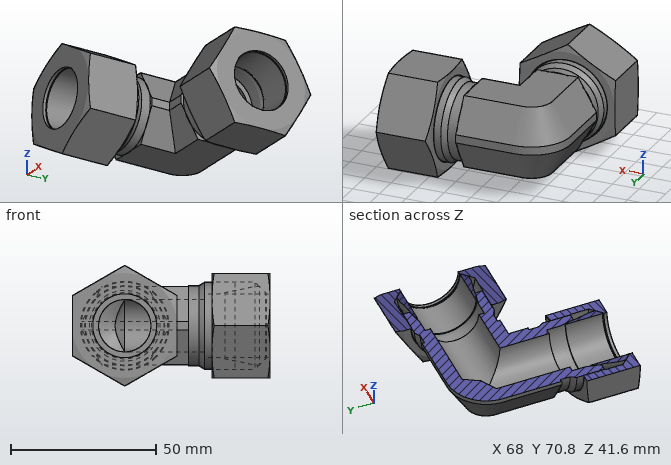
import cadquery as cq
import math


tube_radius = 22 / 2
bore_radius = 18 / 2
bore_tip_angle = 120
tube_stop = 27.5

elbow_flats = 27
trimmed_half_width = 14.7
shoulder = 22

neck_radius = 27.546 / 2
neck_end = 25.5
thread_radius = 30 / 2
thread_start = 27.5
port_end = 38
port_cone_half_angle = 12
port_mouth_radius = 12.15
port_cone_start = port_end - (port_mouth_radius - tube_radius) / math.tan(math.radians(port_cone_half_angle))

nut_flats = 36
nut_start = 30
nut_end = 50
nut_chamfer_angle = 15
nut_mouth_chamfer = 0.25
nut_lip_length = 1.2
nut_lip_start = nut_end - nut_lip_length

ring_edge_thickness = 0.4
ring_outer_radius = 13.5


def hexagon_corner_radius(flats):
    return flats / math.sqrt(3)


def revolve_about_x(points):
    """Turn a closed (distance, radius) outline about the port axis."""
    return cq.Workplane("XY").polyline(points).close().revolve(360, (0, 0), (1, 0))


def on_second_port(part):
    """Move a part from the +X port to the -Y port."""
    return part.rotate((0, 0, 0), (0, 0, 1), -90)


def make_elbow_core():
    """Two arms of the trimmed hexagon section, joined by the same section turned about Z."""
    half_height = elbow_flats / 2
    flat_half_width = half_height * math.tan(math.radians(30))
    corner = hexagon_corner_radius(elbow_flats)
    side_half_height = (corner - trimmed_half_width) * math.tan(math.radians(60))

    half_section = [
        (0, -half_height),
        (flat_half_width, -half_height),
        (trimmed_half_width, -side_half_height),
        (trimmed_half_width, side_half_height),
        (flat_half_width, half_height),
        (0, half_height),
    ]
    half_arm = cq.Workplane("YZ").polyline(half_section).close().extrude(shoulder)
    arm = half_arm.union(half_arm.mirror("XZ"))
    round_corner = cq.Workplane("XZ").polyline(half_section).close().revolve(360, (0, 0), (0, 1))
    return arm.union(on_second_port(arm)).union(round_corner)


def make_port_end():
    """Neck, flare and plain thread cylinder beyond the shoulder of one arm."""
    return revolve_about_x([
        (0, 0),
        (0, bore_radius),
        (shoulder, bore_radius),
        (shoulder, neck_radius),
        (neck_end, neck_radius),
        (thread_start, thread_radius),
        (port_end, thread_radius),
        (port_end, 0),
    ])


def make_port_bore():
    """Drilled bore with a conical tip, tube socket and 24 degree mouth cone."""
    tip_depth = bore_radius / math.tan(math.radians(bore_tip_angle / 2))
    return revolve_about_x([
        (-tip_depth, 0),
        (0, bore_radius),
        (tube_stop, bore_radius),
        (tube_stop, tube_radius),
        (port_cone_start, tube_radius),
        (port_end, port_mouth_radius),
        (port_end, 0),
    ])


def make_elbow():
    port = make_port_end()
    bore = make_port_bore()
    elbow = make_elbow_core().union(port).union(on_second_port(port))
    return elbow.cut(bore).cut(on_second_port(bore))


def make_nut():
    """Hexagon nut with its flats facing +Z and -Z and both ends chamfered."""
    corner = hexagon_corner_radius(nut_flats)
    washer_radius = nut_flats / 2
    chamfer_length = (corner - washer_radius) * math.tan(math.radians(nut_chamfer_angle))
    seat_start = nut_lip_start - (thread_radius - tube_radius)

    hexagon = (
        cq.Workplane("YZ", origin=(nut_start, 0, 0))
        .polygon(6, 2 * corner)
        .extrude(nut_end - nut_start)
    )
    chamfered_envelope = revolve_about_x([
        (nut_start, 0),
        (nut_start, washer_radius),
        (nut_start + chamfer_length, corner),
        (nut_end - chamfer_length, corner),
        (nut_end, washer_radius),
        (nut_end, 0),
    ])
    opening = revolve_about_x([
        (nut_start, 0),
        (nut_start, thread_radius + nut_mouth_chamfer),
        (nut_start + nut_mouth_chamfer, thread_radius),
        (seat_start, thread_radius),
        (nut_lip_start, tube_radius),
        (nut_end, tube_radius),
        (nut_end, 0),
    ])
    return hexagon.intersect(chamfered_envelope).cut(opening)


def make_ring():
    cone_slope = math.tan(math.radians(port_cone_half_angle))
    edge_radius = tube_radius + ring_edge_thickness
    front = port_cone_start + ring_edge_thickness / cone_slope
    front_cone_end = port_cone_start + (ring_outer_radius - tube_radius) / cone_slope
    back = nut_lip_start - ring_edge_thickness
    back_cone_start = back - (ring_outer_radius - edge_radius)
    return revolve_about_x([
        (front, tube_radius),
        (front, edge_radius),
        (front_cone_end, ring_outer_radius),
        (back_cone_start, ring_outer_radius),
        (back, edge_radius),
        (back, tube_radius),
    ])


elbow = make_elbow()
bodies = [elbow.solids().val()]

for place, nut_turn in ((lambda part: part, 0), (on_second_port, 90)):
    nut = place(make_nut().rotate((0, 0, 0), (1, 0, 0), nut_turn))
    ring = place(make_ring())
    bodies += [nut.solids().val(), ring.val()]

result = cq.Compound.makeCompound(bodies)